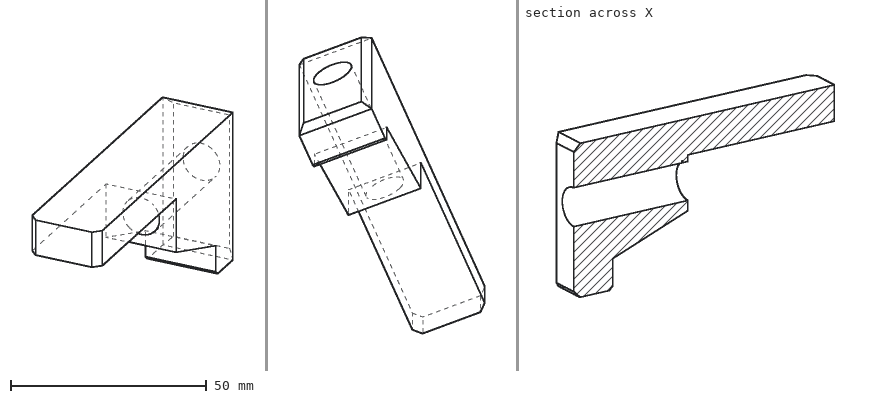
import cadquery as cq

width = 20.0
length = 80.0
height = 42.0
arm_thickness = 10.0
body_depth = 35.0
body_front_height = 25.2
foot_depth = 12.0
foot_top_drop = 33.5
edge_chamfer = 2.0
toe_chamfer = 1.0
hole_diameter = 10.5
hole_drop = 17.0

body_front_y = length - body_depth
foot_front_y = length - foot_depth


def make_profile():
    """Side outline of arm, body and foot, extruded symmetrically about X = 0."""
    outline = [
        (0, height),
        (length, height),
        (length, 0),
        (foot_front_y + toe_chamfer, 0),
        (foot_front_y, toe_chamfer),
        (foot_front_y, height - foot_top_drop),
        (body_front_y, height - body_front_height),
        (body_front_y, height - arm_thickness),
        (0, height - arm_thickness),
    ]
    return cq.Workplane("YZ").polyline(outline).close().extrude(width / 2, both=True)


def chamfer_ends(body):
    """Bevel the whole rim of the back face and the upright edges of the arm tip."""
    body = body.faces(">Y").edges().chamfer(edge_chamfer)
    return body.faces("<Y").edges("|Z").chamfer(edge_chamfer)


def make_hole():
    """Round cutter along Y through the body below the arm."""
    return (
        cq.Workplane("XZ", origin=(0, length, 0))
        .center(0, height - hole_drop)
        .circle(hole_diameter / 2)
        .extrude(body_depth)
    )


result = chamfer_ends(make_profile()).cut(make_hole())